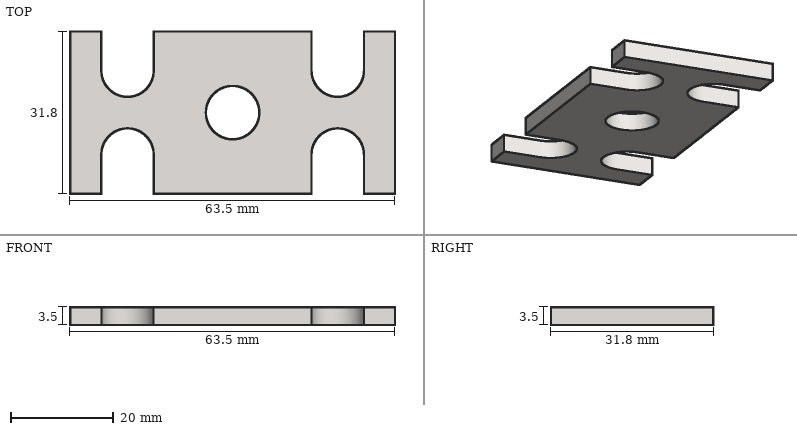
import cadquery as cq

length = 63.5
width = 31.75
thickness = 3.5

hole_diameter = 10.41

slot_width = 10.2
slot_offset = 20.55
web_width = 6.2

slot_radius = slot_width / 2
slot_arc_center = web_width / 2 + slot_radius


def make_plate():
    """Rectangular plate with the central hole."""
    plate = cq.Workplane("XY").box(length, width, thickness)
    return plate.faces(">Z").workplane().hole(hole_diameter)


def make_slot(x_side, y_side):
    """Cutter for one round-bottomed slot that runs out through a long edge."""
    center_x = x_side * slot_offset
    arc_center_y = y_side * slot_arc_center
    edge_y = y_side * width / 2
    return (
        cq.Workplane("XY")
        .moveTo(center_x - slot_radius, edge_y)
        .lineTo(center_x - slot_radius, arc_center_y)
        .threePointArc(
            (center_x, y_side * web_width / 2),
            (center_x + slot_radius, arc_center_y),
        )
        .lineTo(center_x + slot_radius, edge_y)
        .close()
        .extrude(thickness / 2, both=True)
    )


result = make_plate()
for x_side in (-1, 1):
    for y_side in (-1, 1):
        result = result.cut(make_slot(x_side, y_side))